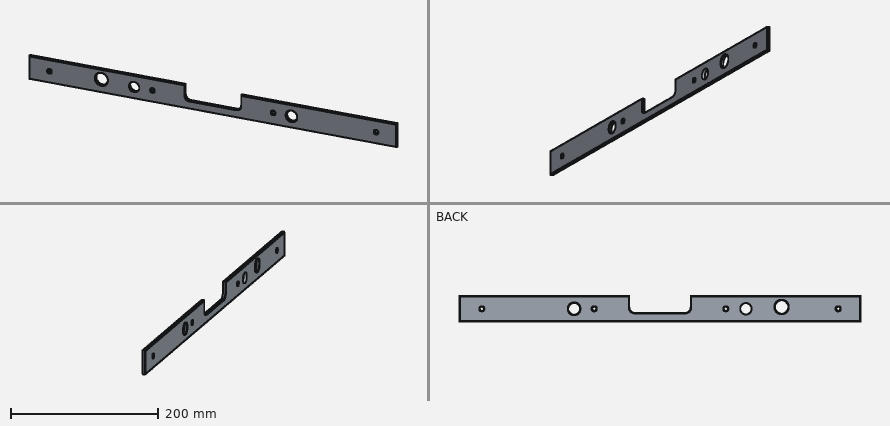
import cadquery as cq

length = 545.0
thickness = 5.0
height = 35.0
edge_chamfer = 1.0

notch_width = 83.0
notch_depth = 23.0
notch_corner_radius = 7.0

mount_diameter = 5.5
mount_offsets = (89.5, 242.0)

large_offset = 116.5
plain_diameter = 15.0
chamfered_diameter = 16.0
raised_hole_x = -165.0
raised_hole_z = 2.45
raised_diameter = 18.0


def through_hole(x, z, diameter):
    """Cylinder running through the bar from its front face."""
    front = cq.Workplane("XZ", origin=(0, -thickness / 2, 0))
    return front.center(x, z).circle(diameter / 2).extrude(-thickness)


def top_notch():
    """Rectangular notch with rounded lower corners."""
    block = cq.Workplane("XY").box(notch_width, thickness, notch_depth)
    block = block.edges("|Y and <Z").fillet(notch_corner_radius)
    return block.translate((0, 0, (height - notch_depth) / 2))


result = cq.Workplane("XY").box(length, thickness, height)
result = result.cut(top_notch())

for offset in mount_offsets:
    for x in (-offset, offset):
        result = result.cut(through_hole(x, 0, mount_diameter))

result = result.cut(through_hole(large_offset, 0, chamfered_diameter))
result = result.cut(through_hole(raised_hole_x, raised_hole_z, raised_diameter))

result = result.faces("<Y or >Y").edges().chamfer(edge_chamfer)
result = result.cut(through_hole(-large_offset, 0, plain_diameter))